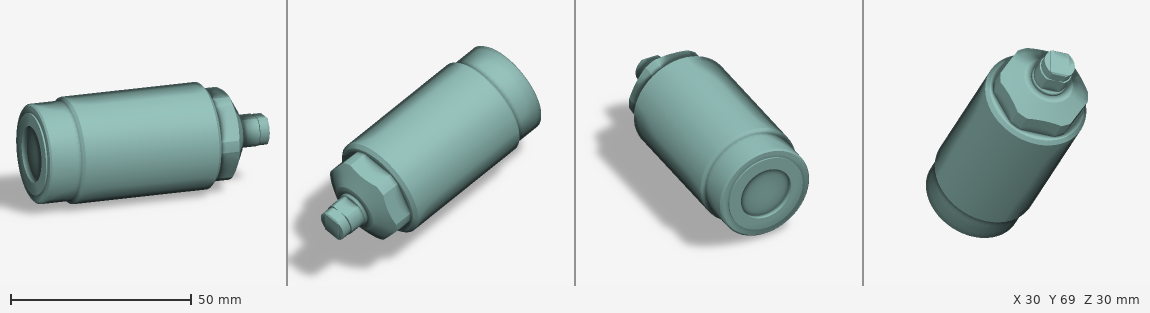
import cadquery as cq
import math

TOTAL_LENGTH = 69
BARREL_DIAMETER = 30.0
NECK_DIAMETER = 28.0
BARREL_BEVEL = (BARREL_DIAMETER - NECK_DIAMETER) / 2
NECK_CHAMFER = 0.5
BARREL_START = 9.5
BARREL_END = 51.0
HEX_ACROSS_FLATS = 24.0
HEX_ROUND_DIAMETER = 26.1
HOUSING_END = 59.95
CONE_TIP_DIAMETER = 14.5
CONE_HALF_ANGLE = 60

FACE_DIAMETER = 23.05
FACE_PROTRUSION = 0.5
FACE_THICKNESS = 3.0
DISH_DIAMETER = 15.8
DISH_DEPTH = 1.5

FLANGE_DIAMETER = 10.3
FLANGE_LENGTH = 1.05
FLANGE_CHAMFER = 0.2
PLUG_DIAMETER = 9.5
PLUG_END = 65.75
GROOVE_WIDTH = 0.3
CAP_DIAMETER = 9
CONNECTOR_ACROSS_FLATS = 8.0
CAP_EDGE_CHAMFER = 0.4
CAP_RIB_WIDTH = 5.4
CAP_RIB_HEIGHT = 0.2


def cylinder(diameter, start, end):
    """Cylinder on the Y axis between two Y positions."""
    return cq.Workplane("XZ", origin=(0, start, 0)).circle(diameter / 2).extrude(start - end)


def revolve_about_y(points):
    """Solid of revolution from (radius, y) points."""
    return cq.Workplane("XY").polyline(points).close().revolve(360, (0, 0, 0), (0, 1, 0))


def make_barrel():
    neck_radius = NECK_DIAMETER / 2
    barrel_radius = BARREL_DIAMETER / 2
    return revolve_about_y([
        (0, FACE_PROTRUSION),
        (neck_radius - NECK_CHAMFER, FACE_PROTRUSION),
        (neck_radius, FACE_PROTRUSION + NECK_CHAMFER),
        (neck_radius, BARREL_START),
        (barrel_radius, BARREL_START + BARREL_BEVEL),
        (barrel_radius, BARREL_END - BARREL_BEVEL),
        (barrel_radius - BARREL_BEVEL, BARREL_END),
        (0, BARREL_END),
    ])


def make_hex_end():
    """Hexagon with flats facing +Z and -Z, rounded corners and a conical end."""
    hexagon = (
        cq.Workplane("XZ", origin=(0, BARREL_END, 0))
        .polygon(6, HEX_ACROSS_FLATS / math.cos(math.radians(30)))
        .extrude(BARREL_END - HOUSING_END)
    )
    round_radius = HEX_ROUND_DIAMETER / 2
    tip_radius = CONE_TIP_DIAMETER / 2
    cone_length = (round_radius - tip_radius) / math.tan(math.radians(CONE_HALF_ANGLE))
    envelope = revolve_about_y([
        (0, BARREL_END),
        (round_radius, BARREL_END),
        (round_radius, HOUSING_END - cone_length),
        (tip_radius, HOUSING_END),
        (0, HOUSING_END),
    ])
    return hexagon.intersect(envelope)


def make_housing():
    face_seat = cylinder(FACE_DIAMETER, 0, FACE_THICKNESS)
    return make_barrel().union(make_hex_end()).cut(face_seat)


def make_sensing_face():
    disc = cylinder(FACE_DIAMETER, 0, FACE_THICKNESS)
    return disc.cut(cylinder(DISH_DIAMETER, 0, DISH_DEPTH))


def make_flats(start, end):
    """Block that limits the connector to its height across the flats."""
    return cq.Workplane("XY").box(
        FLANGE_DIAMETER, end - start, CONNECTOR_ACROSS_FLATS
    ).translate((0, (start + end) / 2, 0))


def make_cap_shoulders():
    """Shallow cuts that leave a raised strip along Z on the cap end."""
    shoulder_width = (CAP_DIAMETER - CAP_RIB_WIDTH) / 2
    shoulder_offset = (CAP_DIAMETER + CAP_RIB_WIDTH) / 4
    return (
        cq.Workplane("XZ", origin=(0, TOTAL_LENGTH, 0))
        .pushPoints([(-shoulder_offset, 0), (shoulder_offset, 0)])
        .rect(shoulder_width, CAP_DIAMETER)
        .extrude(CAP_RIB_HEIGHT)
    )


def make_connector():
    flange_end = HOUSING_END + FLANGE_LENGTH
    cap_start = PLUG_END + GROOVE_WIDTH

    flange = cylinder(FLANGE_DIAMETER, HOUSING_END, flange_end).faces(">Y").chamfer(FLANGE_CHAMFER)
    plug = cylinder(PLUG_DIAMETER, flange_end, PLUG_END).intersect(make_flats(flange_end, PLUG_END))
    groove = cylinder(CONNECTOR_ACROSS_FLATS, PLUG_END, cap_start)
    cap_flats = make_flats(cap_start, TOTAL_LENGTH).edges(">Y and |X").chamfer(CAP_EDGE_CHAMFER)
    cap = cylinder(CAP_DIAMETER, cap_start, TOTAL_LENGTH).intersect(cap_flats)
    cap = cap.cut(make_cap_shoulders())
    return flange.union(plug).union(groove).union(cap)


housing = make_housing()
sensing_face = make_sensing_face()
connector = make_connector()

result = cq.Compound.makeCompound([housing.val(), sensing_face.val(), connector.val()])